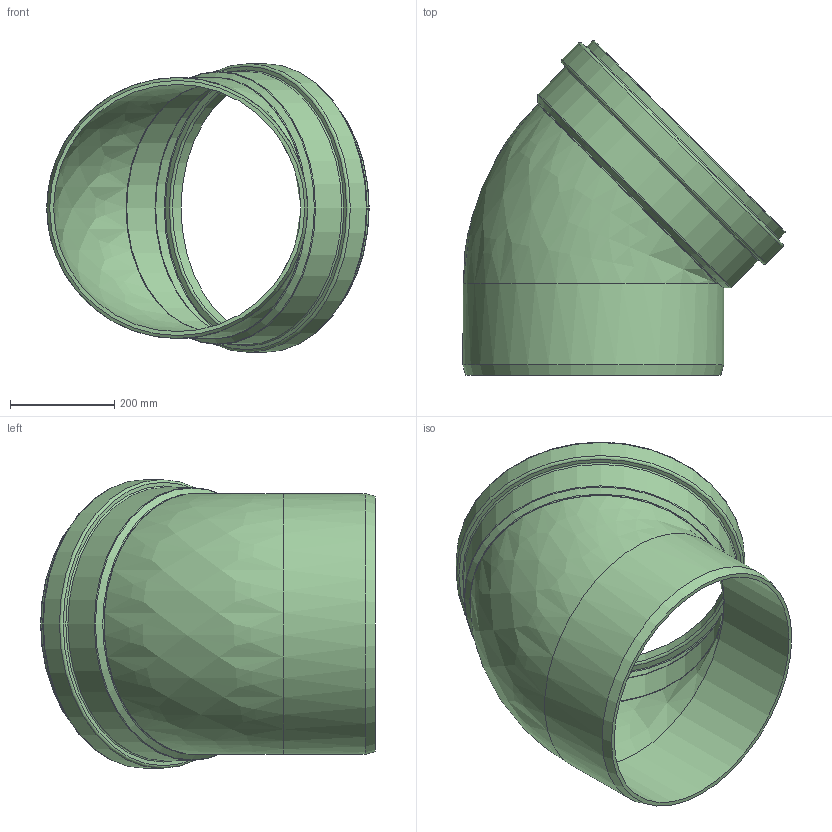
import cadquery as cq
import math


BEND_ANGLE = 45.0
PIPE_OUTER_R = 500.0 / 2
PIPE_INNER_R = 474.0 / 2
BEND_RADIUS = PIPE_INNER_R

SPIGOT_LENGTH = 175.8
SPIGOT_TAPER_LENGTH = 20.0
SPIGOT_END_R = 244.5

SOCKET_OUTER_R = 523.7 / 2
SOCKET_INNER_R = 501.5 / 2
MOUTH_OUTER_R = 520.5 / 2
RING_OUTER_R = 553.6 / 2
GROOVE_R = 534.6 / 2

SOCKET_LENGTH = 162.9
SHOULDER_START = 2.0
SHOULDER_END = 13.5
RING_CENTRE = 116.0
RING_WIDTH = 53.7
GROOVE_WIDTH = 39.0

SHOULDER_ROUND = 3.0
RING_CREST_ROUND = 5.0
RING_ROOT_ROUND = 2.8
GROOVE_LIP_ROUND = 4.2
GROOVE_FLOOR_ROUND = 1.5
MOUTH_ROUND = 1.5


def add_rounded_corner(outline, before, corner, after, radius):
    """Draw up to a corner and round it with an arc tangent to both of its sides."""
    corner = cq.Vector(*corner)
    back = (cq.Vector(*before) - corner).normalized()
    ahead = (cq.Vector(*after) - corner).normalized()
    half_angle = back.getAngle(ahead) / 2
    setback = radius / math.tan(half_angle)
    apex_distance = radius / math.sin(half_angle) - radius
    bisector = (back + ahead).normalized()
    arc_start = corner + back * setback
    arc_middle = corner + bisector * apex_distance
    arc_end = corner + ahead * setback
    outline = outline.lineTo(arc_start.x, arc_start.y)
    return outline.threePointArc((arc_middle.x, arc_middle.y), (arc_end.x, arc_end.y))


def revolve_profile(corners):
    """Solid of revolution about Y from (radius, station, rounding) corners, filled to the axis."""
    axis_start = (0, corners[0][1])
    axis_end = (0, corners[-1][1])
    points = [axis_start] + [(radius, station) for radius, station, _ in corners] + [axis_end]
    outline = cq.Workplane("XY").moveTo(*axis_start)
    for index, (radius, station, rounding) in enumerate(corners, start=1):
        if rounding:
            before, corner, after = points[index - 1:index + 2]
            outline = add_rounded_corner(outline, before, corner, after, rounding)
        else:
            outline = outline.lineTo(radius, station)
    return outline.lineTo(*axis_end).close().revolve(360, (0, 0, 0), (0, 1, 0))


def at_bend_end(body):
    """Carry a body from the start of the bend to its end."""
    return body.rotate((BEND_RADIUS, 0, 0), (BEND_RADIUS, 0, 1), -BEND_ANGLE)


def sweep_bend(section):
    """Turn a pipe section in the XZ plane about the bend axis."""
    return section.revolve(BEND_ANGLE, (BEND_RADIUS, 0, 0), (BEND_RADIUS, -1, 0))


def bend_outside():
    """Outer disc of the pipe, cut off at the bend axis because it reaches past it."""
    half_chord = math.sqrt(PIPE_OUTER_R**2 - BEND_RADIUS**2)
    section = (
        cq.Workplane("XZ")
        .moveTo(BEND_RADIUS, -half_chord)
        .threePointArc((-PIPE_OUTER_R, 0), (BEND_RADIUS, half_chord))
        .close()
    )
    return sweep_bend(section)


def bend_bore():
    return sweep_bend(cq.Workplane("XZ").circle(PIPE_INNER_R))


def spigot_outside():
    return revolve_profile([
        (SPIGOT_END_R, -SPIGOT_LENGTH, 0),
        (PIPE_OUTER_R, SPIGOT_TAPER_LENGTH - SPIGOT_LENGTH, 0),
        (PIPE_OUTER_R, 0, 0),
    ])


def spigot_bore():
    return revolve_profile([
        (PIPE_INNER_R, -SPIGOT_LENGTH, 0),
        (PIPE_INNER_R, 0, 0),
    ])


def socket_outside():
    """Conical shoulder, barrel, seal ring bead and mouth."""
    ring_start = RING_CENTRE - RING_WIDTH / 2
    ring_end = RING_CENTRE + RING_WIDTH / 2
    return at_bend_end(revolve_profile([
        (PIPE_OUTER_R, 0, 0),
        (PIPE_OUTER_R, SHOULDER_START, SHOULDER_ROUND),
        (SOCKET_OUTER_R, SHOULDER_END, SHOULDER_ROUND),
        (SOCKET_OUTER_R, ring_start, RING_ROOT_ROUND),
        (RING_OUTER_R, ring_start, RING_CREST_ROUND),
        (RING_OUTER_R, ring_end, RING_CREST_ROUND),
        (MOUTH_OUTER_R, ring_end, RING_ROOT_ROUND),
        (MOUTH_OUTER_R, SOCKET_LENGTH, MOUTH_ROUND),
    ]))


def socket_bore():
    """Inside of the socket with the groove for the seal ring."""
    groove_start = RING_CENTRE - GROOVE_WIDTH / 2
    groove_end = RING_CENTRE + GROOVE_WIDTH / 2
    return at_bend_end(revolve_profile([
        (PIPE_INNER_R, 0, 0),
        (PIPE_INNER_R, SHOULDER_START, SHOULDER_ROUND),
        (SOCKET_INNER_R, SHOULDER_END, SHOULDER_ROUND),
        (SOCKET_INNER_R, groove_start, GROOVE_LIP_ROUND),
        (GROOVE_R, groove_start, GROOVE_FLOOR_ROUND),
        (GROOVE_R, groove_end, GROOVE_FLOOR_ROUND),
        (SOCKET_INNER_R, groove_end, GROOVE_LIP_ROUND),
        (SOCKET_INNER_R, SOCKET_LENGTH, 0),
    ]))


outside = spigot_outside().union(bend_outside()).union(socket_outside())
result = outside.cut(spigot_bore()).cut(bend_bore()).cut(socket_bore()).solids()